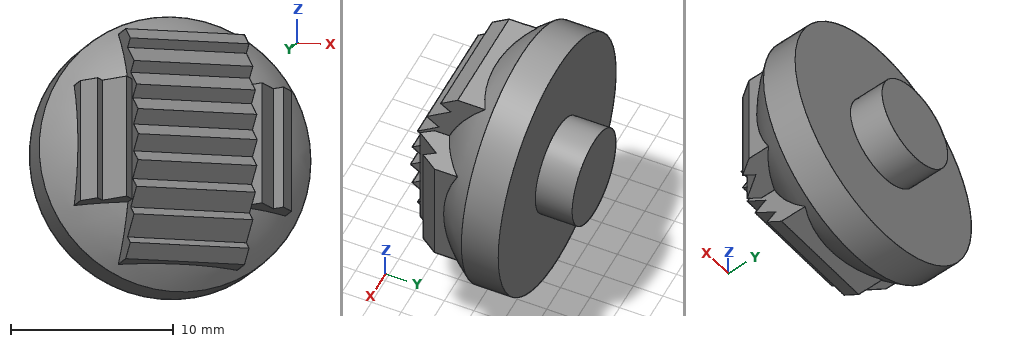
import cadquery as cq
import math

flange_diameter = 17.2
flange_thickness = 2.5
pin_diameter = 6.4
pin_length = 2.5
dome_height = 4.5

tooth_pitch = 1.6
tooth_count = 9
flank_angle = 55.0
rack_width = 7.52
rack_height = 5.7
tip_arc_radius = 11.0
side_rack_inset = 0.52
side_rack_raise = 0.2

flange_radius = flange_diameter / 2
rim_y = -flange_thickness
rack_length = tooth_count * tooth_pitch
flank_slope = math.tan(math.radians(flank_angle))


def make_body():
    """Pin, flange and spherical dome, revolved about Y as one profile."""
    pin_radius = pin_diameter / 2
    dome_radius = (flange_radius**2 + dome_height**2) / (2 * dome_height)
    half_arc_angle = math.asin(flange_radius / dome_radius) / 2
    dome_center_y = rim_y - dome_height + dome_radius
    arc_middle = (
        dome_radius * math.sin(half_arc_angle),
        dome_center_y - dome_radius * math.cos(half_arc_angle),
    )
    return (
        cq.Workplane("XY")
        .moveTo(0, pin_length)
        .lineTo(pin_radius, pin_length)
        .lineTo(pin_radius, 0)
        .lineTo(flange_radius, 0)
        .lineTo(flange_radius, rim_y)
        .threePointArc(arc_middle, (0, rim_y - dome_height))
        .close()
        .revolve(360, (0, 0, 0), (0, 1, 0))
    )


def tooth_tip(z):
    """Tip (y, z) of the tooth centred at height z."""
    sag = tip_arc_radius - math.sqrt(tip_arc_radius**2 - z**2)
    return rim_y - rack_height + sag, z


def valley(lower_tip, upper_tip):
    """Point where the facing flanks of two neighbouring teeth meet."""
    (lower_y, lower_z), (upper_y, upper_z) = lower_tip, upper_tip
    y = (lower_y + upper_y + flank_slope * (upper_z - lower_z)) / 2
    return y, lower_z + (y - lower_y) / flank_slope


def make_rack():
    """Main rack along Z, with its base buried in the dome."""
    middle_tooth = (tooth_count - 1) / 2
    tips = [tooth_tip((i - middle_tooth) * tooth_pitch) for i in range(tooth_count)]
    half_length = rack_length / 2
    end_y = tips[0][0] + flank_slope * tooth_pitch / 2

    outline = [(rim_y, -half_length), (end_y, -half_length), tips[0]]
    for lower_tip, upper_tip in zip(tips, tips[1:]):
        outline += [valley(lower_tip, upper_tip), upper_tip]
    outline += [(end_y, half_length), (rim_y, half_length)]
    return cq.Workplane("YZ").polyline(outline).close().extrude(rack_width / 2, both=True)


def make_side_rack(main_rack):
    """The outer teeth of a rack turned along X, kept only beyond the main rack's +X side."""
    beyond_main_rack = cq.Workplane("XY").box(
        flange_radius, flange_diameter, flange_diameter, centered=(False, True, True)
    ).translate((rack_width / 2, rim_y, 0))
    return (
        main_rack.rotate((0, 0, 0), (0, 1, 0), 90)
        .translate((-side_rack_inset, -side_rack_raise, 0))
        .intersect(beyond_main_rack)
    )


main_rack = make_rack()
side_rack = make_side_rack(main_rack)

result = make_body().union(main_rack).union(side_rack).union(side_rack.mirror("YZ"))